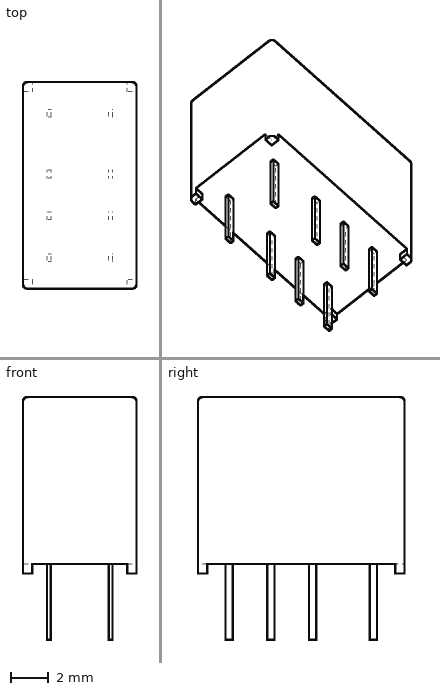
import cadquery as cq

case_width = 6.0
case_length = 10.9
total_height = 12.8
edge_radius = 0.25
foot_size = 0.5
foot_height = 0.5

pin_thickness = 0.2
pin_width = 0.4
pin_drop = 4.0
row_spacing = 3.25
close_pitch = 2.2
wide_pitch = 3.2

floor_height = foot_height
pin_tip_height = floor_height - pin_drop
case_height = total_height + pin_tip_height

row_length = wide_pitch + 2 * close_pitch
pin_rows = [-row_spacing / 2, row_spacing / 2]
pin_stations = [
    -row_length / 2,
    -row_length / 2 + close_pitch,
    -row_length / 2 + 2 * close_pitch,
    row_length / 2,
]


def make_case():
    """Box with rounded upright and top edges, relieved underneath to leave four feet."""
    case = cq.Workplane("XY").box(case_width, case_length, case_height, centered=(True, True, False))
    case = case.edges("|Z or >Z").fillet(edge_radius)

    slot_width = case_width - 2 * foot_size
    slot_length = case_length - 2 * foot_size
    base = cq.Workplane("XY")
    lengthwise_slot = base.box(slot_width, case_length, foot_height, centered=(True, True, False))
    crosswise_slot = base.box(case_width, slot_length, foot_height, centered=(True, True, False))
    return case.cut(lengthwise_slot).cut(crosswise_slot)


def make_pins():
    """Flat pins hanging from the floor of the case."""
    return (
        cq.Workplane("XY", origin=(0, 0, pin_tip_height))
        .pushPoints([(x, y) for x in pin_rows for y in pin_stations])
        .rect(pin_thickness, pin_width)
        .extrude(pin_drop)
    )


result = make_case().union(make_pins())